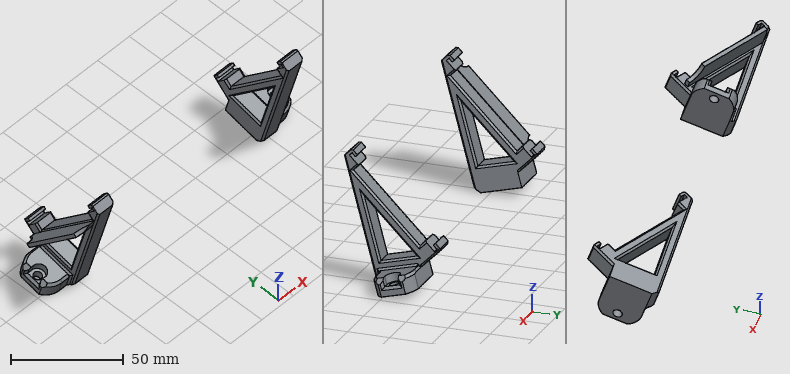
import cadquery as cq
import math

OVERALL_WIDTH = 157.8
INNER_GAP = 109.8
STAND_TILT = 15.0
PANEL_ANGLE = 30.0
RIGHT_STAND_DROP = 0.3

STAND_WIDTH = 10.1
EDGE_CHAMFER = 1.0
ARM_DEPTH = 4.4
FOOT_RAIL_TOP = 12.3
FRAME_BACK = 23.0
TOE_CUT_DEPTH = 2.8
TOE_CUT_HEIGHT = 2.8
BAR_THICKNESS = 4.5

APEX_HEIGHT = 60.0
HOOK_WALL = 1.4
SLOT_OUT = 4.0
SLOT_WIDTH = 1.7
LIP_OUT = SLOT_OUT + SLOT_WIDTH + HOOK_WALL
UPPER_HOOK_DOWN = -2.5
UPPER_LIP_DOWN = 1.1
UPPER_BLOCK_DOWN = 5.0
HOOK_CHAMFER = 0.8
LOWER_BLOCK_DOWN = 49.7
LOWER_LIP_DOWN = 53.3
LOWER_HOOK_DOWN = 57.3

EAR_LENGTH = OVERALL_WIDTH / 2 - INNER_GAP / 2 - STAND_WIDTH
EAR_HEIGHT = 8.2
EAR_RADIUS = 10.3
EAR_ROUND_X = STAND_WIDTH + 5.5
EAR_CENTRE_Y = 13.1
EAR_END_X = STAND_WIDTH + EAR_LENGTH
EAR_CHAMFER = 1.3
EAR_END_BEVEL = 2.4
SCREW_X = EAR_END_X - 4.0
SCREW_DIAMETER = 4.3
HEAD_DIAMETER = 7.4
HEAD_SEAT = 4.3
HEAD_FLARE = 1.3

PLATE_LENGTH = 9.8
PLATE_INSET = 0.6
PLATE_THICKNESS = 2.0
PLATE_BACK_DOWN = 55.5
PLATE_NOTCH_RADIUS = 7.0
PLATE_NOTCH_TOP_DOWN = 0.6


def panel_point(out, down):
    """The (Y, Z) of a point given in the panel axes."""
    angle = math.radians(PANEL_ANGLE)
    y = out * math.cos(angle) + down * math.sin(angle)
    z = APEX_HEIGHT + out * math.sin(angle) - down * math.cos(angle)
    return (y, z)


def down_at_depth(out, y):
    """How far down the panel axes a line parallel to the bar reaches the depth y."""
    angle = math.radians(PANEL_ANGLE)
    return (y - out * math.cos(angle)) / math.sin(angle)


def down_at_height(out, z):
    """How far down the panel axes a line parallel to the bar reaches the height z."""
    angle = math.radians(PANEL_ANGLE)
    return (APEX_HEIGHT + out * math.sin(angle) - z) / math.cos(angle)


def front_out(down):
    """How far out the front face of the arm lies at a place along the panel."""
    return -down * math.tan(math.radians(PANEL_ANGLE))


def extrude_side(points, width):
    return cq.Workplane("YZ").polyline(points).close().extrude(width)


FRONT_TOP = panel_point(front_out(UPPER_HOOK_DOWN), UPPER_HOOK_DOWN)
UPPER_BLOCK_CORNER = panel_point(SLOT_OUT, UPPER_BLOCK_DOWN)
BAR_TOP = panel_point(0, UPPER_BLOCK_DOWN)
BAR_BOTTOM = panel_point(0, LOWER_BLOCK_DOWN)
LOWER_BLOCK_CORNER = panel_point(SLOT_OUT, LOWER_BLOCK_DOWN)
LOWER_HOOK_CORNER = panel_point(LIP_OUT - HOOK_CHAMFER, LOWER_HOOK_DOWN)
UNDERSIDE_OUT = (FRAME_BACK - panel_point(0, LOWER_HOOK_DOWN)[0]) / math.cos(math.radians(PANEL_ANGLE))
UNDERSIDE_END = panel_point(UNDERSIDE_OUT, LOWER_HOOK_DOWN)


def frame_outline():
    upper_hook = [
        panel_point(LIP_OUT - HOOK_CHAMFER, UPPER_HOOK_DOWN),
        panel_point(LIP_OUT, UPPER_HOOK_DOWN + HOOK_CHAMFER),
        panel_point(LIP_OUT, UPPER_LIP_DOWN),
        panel_point(LIP_OUT - HOOK_WALL, UPPER_LIP_DOWN),
        panel_point(LIP_OUT - HOOK_WALL, UPPER_HOOK_DOWN + HOOK_WALL),
        panel_point(SLOT_OUT, UPPER_HOOK_DOWN + HOOK_WALL),
    ]
    lower_hook = [
        panel_point(SLOT_OUT, LOWER_HOOK_DOWN - HOOK_WALL),
        panel_point(LIP_OUT - HOOK_WALL, LOWER_HOOK_DOWN - HOOK_WALL),
        panel_point(LIP_OUT - HOOK_WALL, LOWER_LIP_DOWN),
        panel_point(LIP_OUT, LOWER_LIP_DOWN),
        panel_point(LIP_OUT, LOWER_HOOK_DOWN - HOOK_CHAMFER),
    ]
    return [
        (0, 0),
        FRONT_TOP,
        *upper_hook,
        UPPER_BLOCK_CORNER,
        BAR_TOP,
        BAR_BOTTOM,
        LOWER_BLOCK_CORNER,
        *lower_hook,
        LOWER_HOOK_CORNER,
        UNDERSIDE_END,
        (FRAME_BACK, 0),
    ]


def window_corners():
    inner_face = -BAR_THICKNESS
    top = panel_point(inner_face, down_at_depth(inner_face, ARM_DEPTH))
    back = panel_point(inner_face, down_at_height(inner_face, FOOT_RAIL_TOP))
    return [top, back, (ARM_DEPTH, FOOT_RAIL_TOP)]


def chamfer_side_edges(solid, segments):
    """Chamfer the edges that the given (Y, Z) segments leave on both sides of the stand."""
    corners = []
    for start, end in segments:
        middle_y = (start[0] + end[0]) / 2
        middle_z = (start[1] + end[1]) / 2
        corners += [cq.Vector(x, middle_y, middle_z) for x in (0, STAND_WIDTH)]
    edges = [
        edge
        for edge in solid.edges().vals()
        if any(edge.Center().sub(corner).Length < 0.002 for corner in corners)
    ]
    return solid.newObject(edges).chamfer(EDGE_CHAMFER)


def make_frame():
    window = window_corners()
    frame = extrude_side(frame_outline(), STAND_WIDTH).cut(extrude_side(window, STAND_WIDTH))
    segments = [
        ((0, 0), FRONT_TOP),
        (UPPER_BLOCK_CORNER, BAR_TOP),
        (BAR_TOP, BAR_BOTTOM),
        (BAR_BOTTOM, LOWER_BLOCK_CORNER),
        (LOWER_HOOK_CORNER, UNDERSIDE_END),
        (window[0], window[1]),
        (window[1], window[2]),
        (window[2], window[0]),
    ]
    return chamfer_side_edges(frame, segments)


def head_recess():
    """Screw-head recess that runs out through the ear's end and flares there."""
    radius = HEAD_DIAMETER / 2
    depth = EAR_HEIGHT - HEAD_SEAT
    bore = cq.Workplane("XY", origin=(SCREW_X, EAR_CENTRE_Y, HEAD_SEAT)).circle(radius).extrude(depth)
    slot = cq.Workplane("XY").box(
        EAR_END_X - SCREW_X, HEAD_DIAMETER, depth, centered=(False, True, False)
    ).translate((SCREW_X, EAR_CENTRE_Y, HEAD_SEAT))
    flare_start = EAR_END_X - HEAD_FLARE
    flare = (
        cq.Workplane("YZ", origin=(flare_start, EAR_CENTRE_Y, HEAD_SEAT + depth / 2))
        .rect(HEAD_DIAMETER, depth)
        .workplane(offset=HEAD_FLARE)
        .rect(HEAD_DIAMETER + 2 * HEAD_FLARE, depth + 2 * HEAD_FLARE)
        .loft(ruled=True)
    )
    return bore.union(slot).union(flare)


def make_ear():
    """Rounded ear with a bevelled rim and a screw hole, cut flat at its end and at its back."""
    front = EAR_CENTRE_Y - EAR_RADIUS
    rounded_back = EAR_CENTRE_Y + EAR_RADIUS
    ear = (
        cq.Workplane("XY")
        .moveTo(0, front)
        .lineTo(EAR_ROUND_X, front)
        .threePointArc((EAR_ROUND_X + EAR_RADIUS, EAR_CENTRE_Y), (EAR_ROUND_X, rounded_back))
        .lineTo(0, rounded_back)
        .close()
        .extrude(EAR_HEIGHT)
        .faces(">Z")
        .edges("not <X")
        .chamfer(EAR_CHAMFER)
    )
    end_profile = [
        (STAND_WIDTH, 0),
        (EAR_END_X, 0),
        (EAR_END_X, EAR_HEIGHT - EAR_END_BEVEL),
        (EAR_END_X - EAR_END_BEVEL, EAR_HEIGHT),
        (STAND_WIDTH, EAR_HEIGHT),
    ]
    end_limit = cq.Workplane("XZ").polyline(end_profile).close().extrude(-FRAME_BACK)
    screw_hole = (
        cq.Workplane("XY", origin=(SCREW_X, EAR_CENTRE_Y, 0)).circle(SCREW_DIAMETER / 2).extrude(HEAD_SEAT)
    )
    return ear.intersect(end_limit).cut(screw_hole).cut(head_recess())


def make_ear_root():
    """Sloping transition between the frame's side and the ear's top and front."""
    front = EAR_CENTRE_Y - EAR_RADIUS
    profiles = []
    for growth in (EDGE_CHAMFER, 0):
        root_top = EAR_HEIGHT + growth
        profiles.append([
            (FRAME_BACK, 0),
            (front - growth, 0),
            (front - growth, root_top),
            (FRAME_BACK - EAR_CHAMFER, root_top),
            (FRAME_BACK, EAR_HEIGHT - EAR_CHAMFER),
        ])
    wide, narrow = profiles
    return (
        cq.Workplane("YZ", origin=(STAND_WIDTH, 0, 0))
        .polyline(wide)
        .close()
        .workplane(offset=EDGE_CHAMFER)
        .polyline(narrow)
        .close()
        .loft(ruled=True)
    )


def make_stand():
    toe_cut = extrude_side([(0, 0), (0, TOE_CUT_HEIGHT), (TOE_CUT_DEPTH, 0)], STAND_WIDTH + EAR_LENGTH)
    return make_frame().union(make_ear_root()).union(make_ear()).cut(toe_cut)


def make_side_plate():
    """Plate beside the panel bar, with rounded notches and its upper end cut parallel to the arm's front."""
    outer_face = -PLATE_INSET
    inner_face = outer_face - PLATE_THICKNESS
    profile = [
        panel_point(outer_face, down_at_depth(outer_face, EDGE_CHAMFER)),
        panel_point(outer_face, PLATE_BACK_DOWN),
        panel_point(inner_face, PLATE_BACK_DOWN),
        panel_point(inner_face, down_at_depth(inner_face, EDGE_CHAMFER)),
    ]
    plate_start = STAND_WIDTH / 2
    plate_end = STAND_WIDTH + PLATE_LENGTH
    plate = extrude_side(profile, plate_end - plate_start).translate((plate_start, 0, 0))
    for down in (PLATE_NOTCH_TOP_DOWN, PLATE_BACK_DOWN):
        centre_y, centre_z = panel_point(inner_face, down)
        notch = (
            cq.Workplane("XY")
            .circle(PLATE_NOTCH_RADIUS)
            .extrude(2 * PLATE_THICKNESS, both=True)
            .rotate((0, 0, 0), (1, 0, 0), PANEL_ANGLE - 90)
            .translate((plate_end, centre_y, centre_z))
        )
        plate = plate.cut(notch)
    return plate


def place_stand(stand):
    """Tilt an upright stand backwards and move it out to its side of the gap."""
    return stand.rotate((0, 0, 0), (1, 0, 0), STAND_TILT).translate((INNER_GAP / 2, 0, 0))


right_stand = place_stand(make_stand()).translate((0, 0, -RIGHT_STAND_DROP))
left_stand = place_stand(make_stand().union(make_side_plate())).mirror("YZ")

result = cq.Compound.makeCompound([left_stand.val(), right_stand.val()])